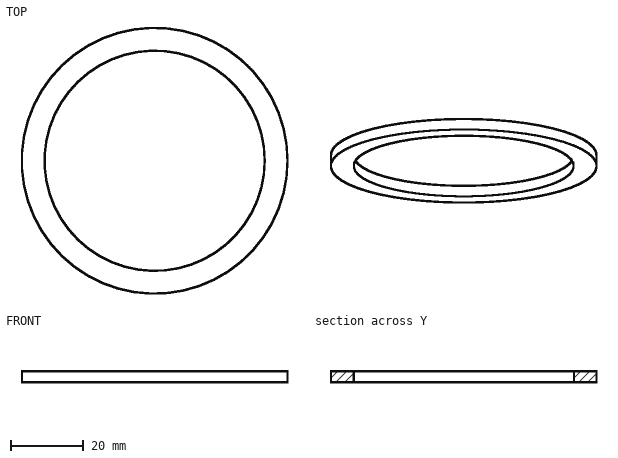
import cadquery as cq

outer_diameter = 73.28
inner_diameter = 60.58
thickness = 3.05

result = (
    cq.Workplane("XY")
    .circle(outer_diameter / 2)
    .circle(inner_diameter / 2)
    .extrude(thickness)
)